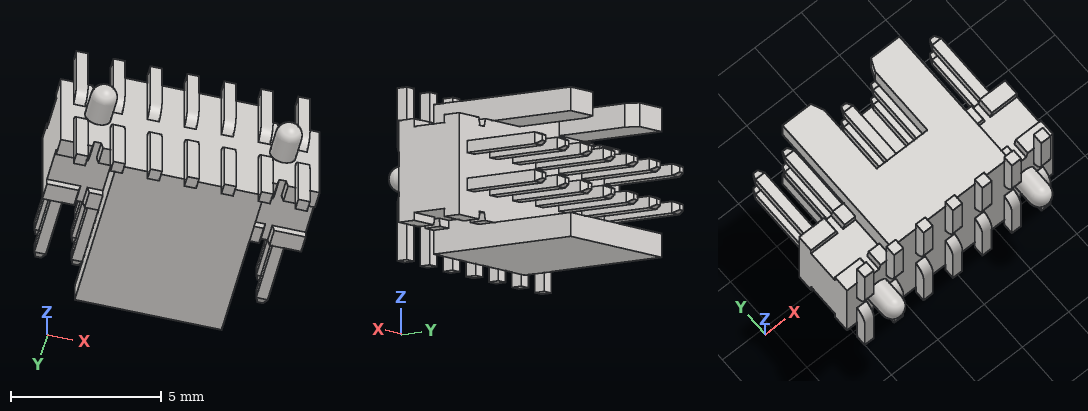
import cadquery as cq
import math


length = 8.89
pins_per_row = 7
pitch = length / pins_per_row
pin_size = 0.4
row_height = pitch / 2

block_depth = 2.51
block_height = 3.44
shroud_width = 5.05
shroud_wall = 0.81
shroud_reach = 5.71
shroud_bottom = block_height / 2

key_width = 2.19
key_flare = 0.205
key_flare_depth = 0.46

relief_depth = 0.27
channel_width = block_depth / 2

groove_mouth = 0.365
groove_floor = 0.23

peg_diameter = 0.89
peg_radius = peg_diameter / 2
peg_length = 1.27
peg_offset = 2.5 * pitch

pin_tip_setback = 0.14
pin_tip_length = 0.25
pin_tip_size = 0.2
tail_end = 2.92
bend_drop = 0.6


def centred_box(width, height, y_start, y_end, z_centre=0.0):
    """Box centred on X = 0 that spans y_start to y_end."""
    depth = y_end - y_start
    return cq.Workplane("XY").box(width, depth, height).translate((0, y_start + depth / 2, z_centre))


def make_housing():
    """Pin block between two shroud walls, with the keying slot in the upper wall."""
    housing = centred_box(length, block_height, 0, block_depth)
    wall_centre = shroud_bottom + shroud_wall / 2
    for side in (1, -1):
        housing = housing.union(centred_box(shroud_width, shroud_wall, 0, shroud_reach, side * wall_centre))

    slot_half = key_width / 2
    mouth_half = slot_half + key_flare
    flare_start = shroud_reach - key_flare_depth
    key_slot = (
        cq.Workplane("XY", origin=(0, 0, shroud_bottom))
        .polyline([
            (-slot_half, block_depth),
            (slot_half, block_depth),
            (slot_half, flare_start),
            (mouth_half, shroud_reach),
            (-mouth_half, shroud_reach),
            (-slot_half, flare_start),
        ])
        .close()
        .extrude(shroud_wall)
    )
    return housing.cut(key_slot)


def make_end_channel(x_side, z_side):
    """Shallow channel from the shroud's side out to the end of the block."""
    channel_length = (length - shroud_width) / 2
    x_centre = x_side * (shroud_width + channel_length) / 2
    z_centre = z_side * (block_height - relief_depth) / 2
    return (
        cq.Workplane("XY")
        .box(channel_length, channel_width, relief_depth)
        .translate((x_centre, block_depth / 2, z_centre))
    )


def make_groove(x_side, z_side):
    """Trapezoidal groove along Y, as deep as the channel it crosses."""
    x = x_side * peg_offset
    z_mouth = z_side * block_height / 2
    z_floor = z_mouth - z_side * relief_depth
    return (
        cq.Workplane("XZ")
        .polyline([
            (x - groove_mouth / 2, z_mouth),
            (x + groove_mouth / 2, z_mouth),
            (x + groove_floor / 2, z_floor),
            (x - groove_floor / 2, z_floor),
        ])
        .close()
        .extrude(-block_depth)
    )


def make_peg(x_side):
    """Round peg that points toward -Y and ends in a hemisphere."""
    x = x_side * peg_offset
    shank_length = peg_length - peg_radius
    shank = cq.Workplane("XZ").center(x, 0).circle(peg_radius).extrude(shank_length)
    dome = cq.Workplane("XY").sphere(peg_radius).translate((x, -shank_length, 0))
    return shank.union(dome)


def make_contact():
    """Straight contact of an upper-row pin at X = 0, with a pyramid tip."""
    taper_start = shroud_reach - pin_tip_setback - pin_tip_length
    shank = centred_box(pin_size, pin_size, block_depth, taper_start, row_height)
    tip = (
        cq.Workplane("XZ", origin=(0, taper_start, row_height))
        .rect(pin_size, pin_size)
        .workplane(offset=-pin_tip_length)
        .rect(pin_tip_size, pin_tip_size)
        .loft()
    )
    return shank.union(tip)


def make_tail():
    """Solder tail of an upper-row pin at X = 0, with the outside of its bend rounded."""
    z_start = row_height - pin_size / 2
    z_straight = z_start + bend_drop
    radius = (bend_drop**2 + pin_size**2) / (2 * pin_size)
    half_angle = math.asin(bend_drop / radius) / 2
    arc_middle = (
        radius - pin_size - radius * math.cos(half_angle),
        z_straight - radius * math.sin(half_angle),
    )
    return (
        cq.Workplane("YZ", origin=(-pin_size / 2, 0, 0))
        .moveTo(0, z_start)
        .threePointArc(arc_middle, (-pin_size, z_straight))
        .lineTo(-pin_size, tail_end)
        .lineTo(0, tail_end)
        .close()
        .extrude(pin_size)
    )


result = make_housing()
for x_side in (1, -1):
    for z_side in (1, -1):
        result = result.cut(make_end_channel(x_side, z_side))
        result = result.cut(make_groove(x_side, z_side))
    result = result.union(make_peg(x_side))

upper_parts = (make_contact(), make_tail())
for column in range(pins_per_row):
    x = (column - (pins_per_row - 1) / 2) * pitch
    for upper_part in upper_parts:
        result = result.union(upper_part.translate((x, 0, 0)))
        result = result.union(upper_part.mirror("XY").translate((x, 0, 0)))